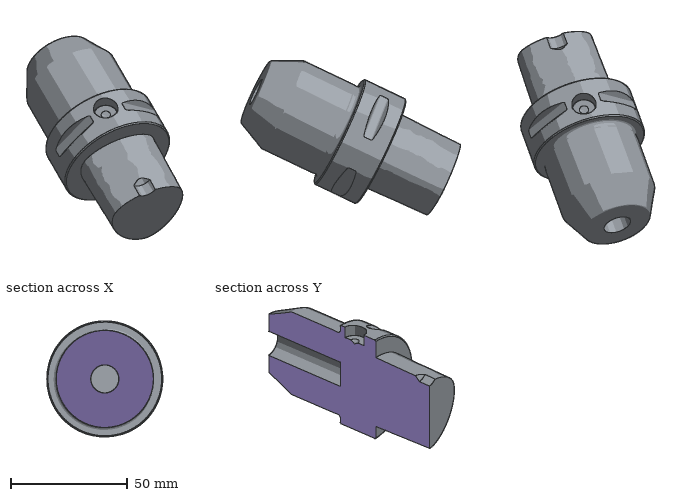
import cadquery as cq
import math

total_length = 90.0
nose_length = 12.9
body_end = 37.0
neck_start = 37.5
flange_start = 40.0
flange_end = 60.0

nose_radius = 14.85
body_radius = 42.0 / 2
neck_radius = 41.8 / 2
flange_radius = 50.0 / 2
nose_round = 0.8
shoulder_round = 1.2
neck_fillet = 1.4
flange_chamfer = 0.5

bore_diameter = 12.0
bore_depth = 40.0

shank_radius = 17.55
shank_end_radius = 16.8
lobe_height = 1.2
outline_points = 72

slot_center = (flange_start + flange_end) / 2
slot_floor_distance = 22.2
slot_floor_width = 4.0
slot_top_width = 6.7
slot_floor_round = 0.8
slot_count = 4
first_slot_angle = 45

screw_x = 48.1
screw_hole_diameter = 10.4
screw_diameter = 10.0
screw_floor_z = 19.8
screw_chamfer = (screw_hole_diameter - screw_diameter) / 2
dimple_diameter = 4.0
dimple_depth = 1.2

notch_radius = 10.0 / 2
notch_axis_z = 18.7
notch_start = 84.3


def turned_body():
    """Nose, cylindrical body, neck and flange, turned about X."""
    profile = (
        cq.Workplane("XY")
        .moveTo(0, 0)
        .lineTo(0, nose_radius)
        .lineTo(nose_length, body_radius)
        .lineTo(body_end, body_radius)
        .lineTo(neck_start, neck_radius)
        .lineTo(flange_start - neck_fillet, neck_radius)
        .radiusArc((flange_start, neck_radius + neck_fillet), -neck_fillet)
        .lineTo(flange_start, flange_radius - flange_chamfer)
        .lineTo(flange_start + flange_chamfer, flange_radius)
        .lineTo(flange_end - flange_chamfer, flange_radius)
        .lineTo(flange_end, flange_radius - flange_chamfer)
        .lineTo(flange_end, 0)
        .close()
    )
    body = profile.revolve(360, (0, 0, 0), (1, 0, 0))
    body = body.faces("<X").edges().fillet(nose_round)
    shoulder = cq.selectors.BoxSelector(
        (nose_length - shoulder_round, -body_radius, -body_radius),
        (nose_length + shoulder_round, body_radius, body_radius),
    )
    return body.edges(shoulder).fillet(shoulder_round)


def lobed_point(mean_radius, angle):
    """Point on the outline whose tangent distance is mean_radius + lobe_height * cos(3 * angle)."""
    reach = mean_radius + lobe_height * math.cos(3 * angle)
    slide = -3 * lobe_height * math.sin(3 * angle)
    along_lobe = reach * math.cos(angle) - slide * math.sin(angle)
    across_lobe = reach * math.sin(angle) + slide * math.cos(angle)
    return across_lobe, -along_lobe


def lobed_wire(x, mean_radius):
    """Closed three-lobed outline in the plane at x."""
    angles = [2 * math.pi * i / outline_points for i in range(outline_points)]
    points = [cq.Vector(x, *lobed_point(mean_radius, angle)) for angle in angles]
    return cq.Wire.assembleEdges([cq.Edge.makeSpline(points, periodic=True)])


def shank():
    """Taper from the flange to the rear end of the part."""
    root = lobed_wire(flange_end, shank_radius)
    end = lobed_wire(total_length, shank_end_radius)
    return cq.Workplane(cq.Solid.makeLoft([root, end], True))


def gripper_slot():
    """Cutter for the upper slot: sloped walls and a flat floor with rounded corners."""
    depth = flange_radius - slot_floor_distance
    cutter_height = 2 * depth
    cutter_top_width = slot_floor_width + 2 * (slot_top_width - slot_floor_width)
    return (
        cq.Workplane("XZ")
        .moveTo(slot_center - slot_floor_width / 2, slot_floor_distance)
        .lineTo(slot_center + slot_floor_width / 2, slot_floor_distance)
        .lineTo(slot_center + cutter_top_width / 2, slot_floor_distance + cutter_height)
        .lineTo(slot_center - cutter_top_width / 2, slot_floor_distance + cutter_height)
        .close()
        .extrude(flange_radius, both=True)
        .faces("<Z")
        .edges("|Y")
        .fillet(slot_floor_round)
    )


def screw_hole():
    """Cutter for the screw hole, with the chamfered screw top and its dimple as the floor."""
    return (
        cq.Workplane("XZ")
        .moveTo(0, screw_floor_z - dimple_depth)
        .lineTo(dimple_diameter / 2, screw_floor_z)
        .lineTo(screw_diameter / 2, screw_floor_z)
        .lineTo(screw_hole_diameter / 2, screw_floor_z - screw_chamfer)
        .lineTo(screw_hole_diameter / 2, flange_radius)
        .lineTo(0, flange_radius)
        .close()
        .revolve(360, (0, 0, 0), (0, 1, 0))
        .translate((screw_x, 0, 0))
    )


def drive_notch():
    """Cutter along X with a 45 degree conical tip."""
    return (
        cq.Workplane("XZ")
        .moveTo(notch_start - notch_radius, 0)
        .lineTo(notch_start, notch_radius)
        .lineTo(total_length, notch_radius)
        .lineTo(total_length, 0)
        .close()
        .revolve(360, (0, 0, 0), (1, 0, 0))
        .translate((0, 0, notch_axis_z))
    )


result = turned_body().union(shank())
result = result.cut(cq.Workplane("YZ").circle(bore_diameter / 2).extrude(bore_depth))
for slot in range(slot_count):
    slot_angle = first_slot_angle + slot * 360 / slot_count
    result = result.cut(gripper_slot().rotate((0, 0, 0), (1, 0, 0), slot_angle))
result = result.cut(screw_hole()).cut(drive_notch())